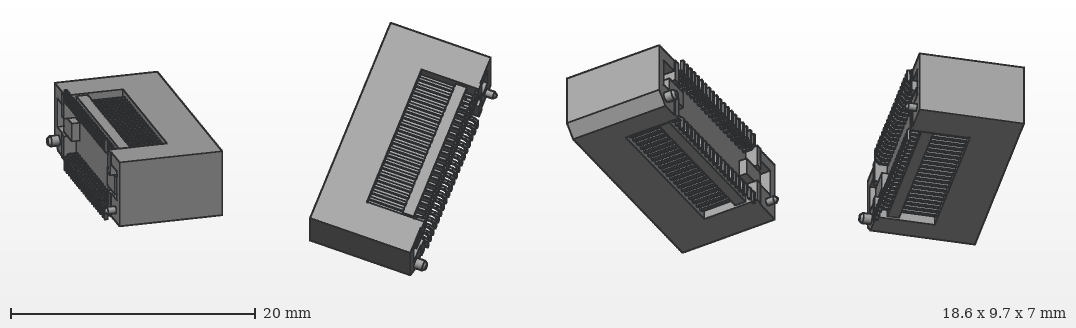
import cadquery as cq
import math


body_width = 18.6
body_depth = 8.76
body_height = 5.62
corner_chamfer = 1.0

recess_width = 12.61
recess_back = 3.83

window_border = 0.76
window_top = 1.73
side_wall = 0.6
rib_proud = 0.1

tab_outer = 7.31
tab_inner = 5.08
tab_half_height = 0.78
tab_back = 7.33
tab_front = 8.55
tab_chamfer = 0.25

block_width = 12.28
block_height = 5.43
block_front = 7.85
band_depth = 0.99

pin_count = 20
pin_row_length = 11.38
pin_width = 0.25
pin_thickness = 0.22
pin_inner = 2.12
pin_bend_angle = 45.0
pin_bend_start = 8.61
pin_front = 8.97
pin_tip = 3.5

peg_x = 8.11
peg_z = -1.8
peg_root = 8.55
peg_end = 9.7
peg_taper = 0.25
left_peg_diameter = 0.87
left_peg_tip = 0.5
right_peg_diameter = 0.61
right_peg_tip = 0.2

body_half_width = body_width / 2
body_half_height = body_height / 2
recess_half = recess_width / 2
wall_outer = recess_half + side_wall
rib_front = body_depth + rib_proud
pin_pitch = pin_row_length / (pin_count - 1)


def box_between(x_range, depth_range, z_range):
    """Box between two X values, two depths in front of the back face and two Z values."""
    size_x = x_range[1] - x_range[0]
    size_y = depth_range[1] - depth_range[0]
    size_z = z_range[1] - z_range[0]
    corner = (x_range[0], -depth_range[1], z_range[0])
    return cq.Workplane("XY").box(size_x, size_y, size_z, centered=False).translate(corner)


def both_sides(right_shape):
    """A shape on the +X side together with its mirror image."""
    return right_shape.union(right_shape.mirror("YZ"))


def make_housing():
    full_height = (-body_half_height, body_half_height)
    housing = box_between((-body_half_width, body_half_width), (0, body_depth), full_height)
    lower_left_edge = cq.selectors.NearestToPointSelector(
        (-body_half_width, -body_depth / 2, -body_half_height)
    )
    housing = housing.edges(lower_left_edge).chamfer(corner_chamfer)

    rib = box_between((recess_half, wall_outer), (0, rib_front), full_height)
    recess = box_between((-recess_half, recess_half), (recess_back, rib_front), full_height)
    window = box_between(
        (wall_outer, body_half_width - window_border),
        (0, rib_front),
        (-tab_half_height, window_top),
    )
    tab_notch = box_between(
        (recess_half, wall_outer),
        (tab_front, rib_front),
        (-tab_half_height, tab_half_height),
    )
    housing = housing.union(both_sides(rib)).cut(recess)
    return housing.cut(both_sides(window.union(tab_notch)))


def make_contact_block():
    half_width = block_width / 2
    x_range = (-half_width, half_width)
    half_height = block_height / 2
    core = box_between(x_range, (recess_back, block_front), (-pin_inner, pin_inner))
    band = box_between(x_range, (block_front - band_depth, block_front), (-half_height, half_height))
    return core.union(band)


def make_tabs():
    """Tabs with a bevel along the upper rear edge."""
    tab = box_between(
        (tab_inner, tab_outer),
        (tab_back, tab_front),
        (-tab_half_height, tab_half_height),
    )
    tab = tab.faces(">Y").edges(">Z").chamfer(tab_chamfer)
    return both_sides(tab)


def make_pin(x):
    """Upper pin: a run along the block, a sloping bend and an upright foot."""
    bend_rise = (pin_front - pin_bend_start) * math.tan(math.radians(pin_bend_angle))
    bend_offset = pin_thickness * math.tan(math.radians(pin_bend_angle / 2))
    pin_outer = pin_inner + pin_thickness
    foot_start = pin_inner + bend_rise
    outline = [
        (-recess_back, pin_inner),
        (-pin_bend_start, pin_inner),
        (-pin_front, foot_start),
        (-pin_front, pin_tip),
        (-pin_front + pin_thickness, pin_tip),
        (-pin_front + pin_thickness, foot_start + bend_offset),
        (-pin_bend_start + bend_offset, pin_outer),
        (-recess_back, pin_outer),
    ]
    pin = cq.Workplane("YZ").polyline(outline).close().extrude(pin_width)
    return pin.translate((x - pin_width / 2, 0, 0))


def make_peg(x, diameter, tip_diameter):
    """Round peg with a conical tip, rooted inside the housing."""
    radius = diameter / 2
    outline = [
        (0, -peg_root),
        (radius, -peg_root),
        (radius, -peg_end + peg_taper),
        (tip_diameter / 2, -peg_end),
        (0, -peg_end),
    ]
    peg = cq.Workplane("XY").polyline(outline).close().revolve(360, (0, 0), (0, 1))
    return peg.translate((x, 0, peg_z))


result = make_housing().union(make_contact_block()).union(make_tabs())

for index in range(pin_count):
    upper_pin = make_pin(index * pin_pitch - pin_row_length / 2)
    result = result.union(upper_pin).union(upper_pin.mirror("XY"))

result = result.union(make_peg(-peg_x, left_peg_diameter, left_peg_tip))
result = result.union(make_peg(peg_x, right_peg_diameter, right_peg_tip))